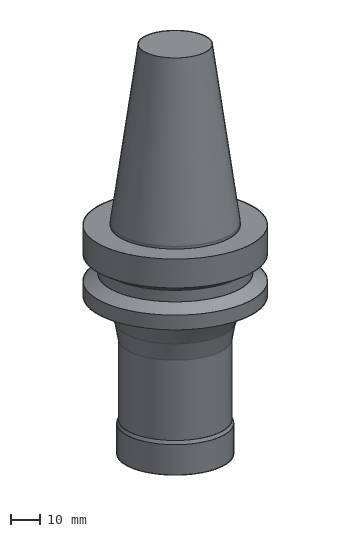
import cadquery as cq
import math


gauge_diameter = 44.45
taper_length = 65.4
taper_ratio = 7 / 24
gauge_land = 1.0

flange_diameter = 63.0
flange_bottom_z = -27.0
groove_floor_diameter = 53.0
groove_mid_z = -16.6
groove_mouth_width = 10.0
groove_side_angle = 30.0

neck_top_diameter = 54.6
neck_shoulder_diameter = 46.2
neck_shoulder_z = -30.0
neck_waist_diameter = 41.2
neck_waist_z = -36.5

body_diameter = 38.8
body_top_z = -43.0
collar_diameter = 40.0
collar_length = 11.2
collar_bevel_height = 1.3
nose_end_z = -85.0


def holder_body():
    """Revolve the outer half profile, without the gripper groove, about Z."""
    taper_end_diameter = gauge_diameter - taper_ratio * taper_length
    collar_top_z = nose_end_z + collar_length
    steps = [
        (taper_end_diameter, taper_length),
        (gauge_diameter, 0),
        (gauge_diameter, -gauge_land),
        (flange_diameter, -gauge_land),
        (flange_diameter, flange_bottom_z),
        (neck_top_diameter, flange_bottom_z),
        (neck_shoulder_diameter, neck_shoulder_z),
        (neck_waist_diameter, neck_waist_z),
        (body_diameter, body_top_z),
        (body_diameter, collar_top_z + collar_bevel_height),
        (collar_diameter, collar_top_z),
        (collar_diameter, nose_end_z),
    ]
    outline = [(diameter / 2, z) for diameter, z in steps]
    on_axis = [(0, nose_end_z), (0, taper_length)]
    return cq.Workplane("XZ").polyline(outline + on_axis).close().revolve(360, (0, 0), (0, 1))


def gripper_groove():
    """Ring with a trapezoid section, to be cut from the flange."""
    rim_radius = flange_diameter / 2
    floor_radius = groove_floor_diameter / 2
    half_mouth = groove_mouth_width / 2
    side_height = (rim_radius - floor_radius) * math.tan(math.radians(groove_side_angle))
    half_floor = half_mouth - side_height
    section = [
        (rim_radius, groove_mid_z + half_mouth),
        (floor_radius, groove_mid_z + half_floor),
        (floor_radius, groove_mid_z - half_floor),
        (rim_radius, groove_mid_z - half_mouth),
    ]
    return cq.Workplane("XZ").polyline(section).close().revolve(360, (0, 0), (0, 1))


result = holder_body().cut(gripper_groove())